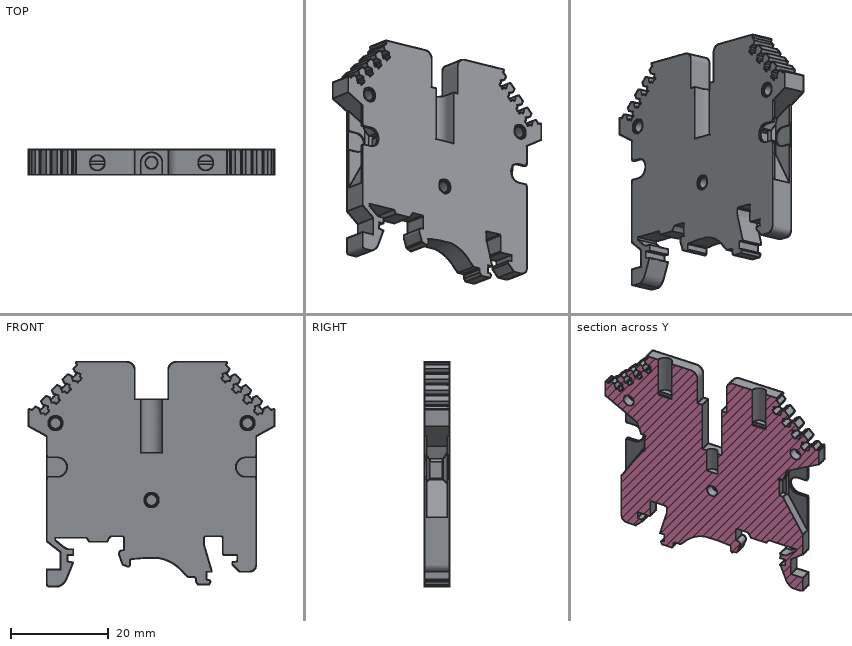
import cadquery as cq
import math

overall_width = 50.4
thickness = 5.2
height = 46.0
front_y = -thickness / 2
back_y = thickness / 2
half_width = overall_width / 2

half_body = 21.45
shoulder_low_z = 30.75
shoulder_side_z = 32.8
shoulder_top_z = 36.35
shoulder_chamfer = 0.15
shoulder_step = [(-24.6, 36.25), (-24.5, 36.09)]
tower_edge_x = 15.35
tower_chamfer_x, tower_chamfer_z = 0.15, 0.2
tooth_line_top_z = 45.35
center_gap_half = 3.4
center_gap_floor_z = 38.35
tower_radius = 1.7

right_foot_radius = 1.45
right_foot_bottom_z = 3.0
hook_corners = [
    (18.0, right_foot_bottom_z), (16.5, 4.5), (16.5, 5.0), (17.5, 5.15), (17.5, 6.45),
    (14.75, 6.45), (14.55, 6.65), (14.55, 10.05), (14.35, 10.25), (11.0, 10.25), (10.75, 10.0),
    (10.75, 8.6), (12.3, 3.3), (12.3, 3.0), (11.3, 3.0), (11.3, 1.45), (11.9, 1.3), (12.1, 1.0),
    (11.8, 0.4), (9.5, 0.4), (9.1, 1.0), (9.1, 1.65), (8.8, 1.9), (7.5, 1.9), (6.6, 2.75),
]
arch_middle = (4.3, 4.75)
arch_top_half = 1.5
arch_top_z = 5.8
stop_corners = [
    (-4.1, 5.6), (-4.35, 5.45), (-4.35, 4.35), (-4.7, 4.0), (-5.75, 4.4), (-6.0, 4.65), (-6.65, 6.5),
]
stop_nose_end = (-5.95, 7.45)
stop_nose_radius = 0.75
spring_corners = [
    (-5.65, 7.45), (-5.65, 10.05), (-5.85, 10.25), (-8.3, 10.25), (-8.65, 9.9), (-9.1, 9.15),
    (-12.75, 9.15), (-13.3, 9.95), (-19.65, 9.95), (-19.65, 9.45), (-17.9, 8.05),
]
spring_arm_middle = (-17.5, 7.8)
spring_arm_end = (-16.95, 7.65)
spring_jaw_corners = [
    (-16.0, 7.65), (-16.0, 6.45), (-17.15, 6.45), (-17.15, 5.15), (-16.0, 4.9), (-17.3, 1.75),
]
spring_toe_middle = (-18.0, 0.65)
spring_toe_end = (-19.0, 0)
heel_radius = 0.5
heel_corners = [(-half_body, 3.5), (-18.65, 3.5), (-18.65, 7.05), (-half_body, 9.25)]

first_groove = (16.56, 44.03)
groove_step = 2.21
groove_count = 4
mouth_half = 0.78
groove_overcut = 0.3
neck_half, neck_depth = 0.50, 0.80
sill_half, sill_depth = 0.78, 1.20
cavity_half, cavity_depth = 1.07, 1.83
key_half, key_top, key_bottom = 0.60, 2.10, 2.65
groove_web = 0.48

feature_y = -0.13
screw_x = 11.09
screw_hole_diameter = 3.1
screw_hole_depth = 8.0
screw_slot_width = 0.7
screw_slot_depth = 0.7
well_width = 4.5
well_back_y = 2.0
well_floor_z = 27.4
well_hole_diameter = 2.5
well_hole_depth = 5.0

socket_places = [(-19.65, 33.45), (19.65, 33.45), (0, 17.7)]
socket_outer_diameter = 3.0
socket_outer_depth = 0.4
socket_inner_diameter = 2.3
socket_depth = 3.0

funnel_half = 2.05
funnel_low_z = 14.2
funnel_knee_x, funnel_knee_z = 17.75, 28.7
throat_x = 16.75
throat_low_z, throat_high_z = 21.9, 26.1
throat_back_y, throat_front_y = 1.27, -1.6
taper_back_x, taper_front_x = 17.25, 17.0
throat_depth = 0.8
throat_bevel = 0.3
throat_end_low_z, throat_end_high_z = 22.15, 25.55
throat_end_inset_y = 0.2

window_mid_z = 24.43
window_height = 4.0
window_length = 4.15
window_lip_height = 0.5
window_lip_length = 0.2
recess_depth = 0.2


def mirrored(points):
    """Points of an XZ outline reflected to the other side, in reverse order."""
    return [(-x, z) for x, z in reversed(points)]


def on_front(y):
    """XZ workplane at the given Y; extruding by a negative length goes towards +Y."""
    return cq.Workplane("XZ", origin=(0, y, 0))


def plate():
    """The full side outline, extruded through the thickness."""
    tooth_line = first_groove[0] + first_groove[1]
    left_side = [
        (-half_body, shoulder_low_z),
        (-half_width, shoulder_side_z),
        (-half_width, shoulder_top_z - shoulder_chamfer),
        (-half_width + shoulder_chamfer, shoulder_top_z),
        *shoulder_step,
        (tooth_line_top_z - tooth_line, tooth_line_top_z),
        (-tower_edge_x - tower_chamfer_x, height - tower_chamfer_z),
        (-tower_edge_x, height),
    ]
    right_side = mirrored(left_side)
    gap_top_x = center_gap_half + tower_radius
    tower_low_z = height - tower_radius
    outline = (
        on_front(back_y)
        .moveTo(*left_side[0])
        .polyline(left_side[1:], includeCurrent=True)
        .lineTo(-gap_top_x, height)
        .radiusArc((-center_gap_half, tower_low_z), tower_radius)
        .lineTo(-center_gap_half, center_gap_floor_z)
        .lineTo(center_gap_half, center_gap_floor_z)
        .lineTo(center_gap_half, tower_low_z)
        .radiusArc((gap_top_x, height), tower_radius)
        .polyline(right_side, includeCurrent=True)
        .lineTo(half_body, right_foot_bottom_z + right_foot_radius)
        .radiusArc((half_body - right_foot_radius, right_foot_bottom_z), right_foot_radius)
        .polyline(hook_corners, includeCurrent=True)
        .threePointArc(arch_middle, (arch_top_half, arch_top_z))
        .lineTo(-arch_top_half, arch_top_z)
        .polyline(stop_corners, includeCurrent=True)
        .radiusArc(stop_nose_end, stop_nose_radius)
        .polyline(spring_corners, includeCurrent=True)
        .threePointArc(spring_arm_middle, spring_arm_end)
        .polyline(spring_jaw_corners, includeCurrent=True)
        .threePointArc(spring_toe_middle, spring_toe_end)
        .lineTo(heel_radius - half_body, 0)
        .radiusArc((-half_body, heel_radius), heel_radius)
        .polyline(heel_corners, includeCurrent=True)
        .close()
    )
    return outline.extrude(thickness)


def groove_prism(center_x, center_z, side, half_profile, start_y, length):
    """Prism of a symmetric (half width, depth) profile sunk into the 45 degree tooth line."""
    profile = half_profile + [(-half, depth) for half, depth in reversed(half_profile)]
    slant = math.sqrt(0.5)
    points = [
        (side * (center_x - (depth + along) * slant), center_z - (depth - along) * slant)
        for along, depth in profile
    ]
    return on_front(start_y).polyline(points).close().extrude(-length)


def tooth_grooves():
    """Through grooves between the teeth, with a cavity below that leaves a web at the back."""
    through = [
        (mouth_half, -groove_overcut),
        (mouth_half, 0),
        (neck_half, neck_depth),
        (sill_half, sill_depth),
    ]
    cavity = [
        (sill_half, sill_depth),
        (cavity_half, cavity_depth),
        (key_half, key_top),
        (key_half, key_bottom),
    ]
    cuts = cq.Workplane("XY")
    for side in (-1, 1):
        for index in range(groove_count):
            x = first_groove[0] + index * groove_step
            z = first_groove[1] - index * groove_step
            cuts = cuts.add(groove_prism(x, z, side, through, front_y, thickness))
            cuts = cuts.add(groove_prism(x, z, side, cavity, front_y, thickness - groove_web))
    return cuts.combine()


def screw_hole(x):
    """Vertical hole with a slotted screw head at its floor."""
    floor_z = height - screw_hole_depth
    hole = (
        cq.Workplane("XY", origin=(x, feature_y, floor_z))
        .circle(screw_hole_diameter / 2)
        .extrude(screw_hole_depth)
    )
    slot_round = (
        cq.Workplane("XY", origin=(x, feature_y, floor_z - screw_slot_depth))
        .circle(screw_hole_diameter / 2)
        .extrude(screw_slot_depth)
    )
    slot_bar = cq.Workplane("XY", origin=(x, feature_y, floor_z)).box(
        screw_hole_diameter, screw_slot_width, 2 * screw_slot_depth
    )
    return hole.union(slot_round.intersect(slot_bar))


def center_well():
    """Round-backed well open to the front and top, with a hole in its floor."""
    radius = well_width / 2
    round_start_y = well_back_y - radius
    well = (
        cq.Workplane("XY", origin=(0, 0, well_floor_z))
        .moveTo(-radius, front_y)
        .lineTo(-radius, round_start_y)
        .threePointArc((0, well_back_y), (radius, round_start_y))
        .lineTo(radius, front_y)
        .close()
        .extrude(center_gap_floor_z - well_floor_z)
    )
    hole = (
        cq.Workplane("XY", origin=(0, feature_y, well_floor_z - well_hole_depth))
        .circle(well_hole_diameter / 2)
        .extrude(well_hole_depth)
    )
    return well.union(hole)


def front_sockets():
    """Stepped blind holes in the front face."""
    face = on_front(front_y).pushPoints(socket_places)
    outer = face.circle(socket_outer_diameter / 2).extrude(-socket_outer_depth)
    inner = face.circle(socket_inner_diameter / 2).extrude(-socket_depth)
    return outer.union(inner)


def entry_window():
    """Half-round ended slot through the front wall and funnel, flared at the body end."""
    radius = window_height / 2
    tip_x = -half_body + window_length
    low_z = window_mid_z - radius
    high_z = window_mid_z + radius
    flare_x = -half_body + window_lip_length
    return (
        on_front(front_y)
        .moveTo(-half_body, low_z - window_lip_height)
        .lineTo(flare_x, low_z)
        .lineTo(tip_x - radius, low_z)
        .threePointArc((tip_x, window_mid_z), (tip_x - radius, high_z))
        .lineTo(flare_x, high_z)
        .lineTo(-half_body, high_z + window_lip_height)
        .close()
        .extrude(-(funnel_half + recess_depth - front_y))
    )


def wire_entry():
    """Left-hand funnel narrowing to a tapered throat, with its wall opening and recess."""
    side_shape = (
        on_front(-funnel_half)
        .polyline([
            (-half_body, funnel_low_z),
            (-throat_x, throat_low_z),
            (-throat_x, throat_high_z),
            (-funnel_knee_x, funnel_knee_z),
            (-half_body, shoulder_low_z),
        ])
        .close()
        .extrude(-2 * funnel_half)
    )
    plan_shape = (
        cq.Workplane("XY")
        .polyline([
            (-half_body, funnel_half),
            (-taper_back_x, funnel_half),
            (-throat_x, throat_back_y),
            (-throat_x, throat_front_y),
            (-taper_front_x, -funnel_half),
            (-half_body, -funnel_half),
        ])
        .close()
        .extrude(height)
    )
    end_x = -throat_x + throat_depth
    ceiling_end_x = end_x + throat_bevel
    throat_side = (
        on_front(-funnel_half)
        .polyline([
            (-throat_x, throat_low_z),
            (end_x, throat_end_low_z),
            (end_x, throat_end_high_z),
            (ceiling_end_x, throat_high_z),
            (-throat_x, throat_high_z),
        ])
        .close()
        .extrude(-2 * funnel_half)
    )
    throat_plan = (
        cq.Workplane("XY")
        .polyline([
            (-throat_x, throat_back_y),
            (ceiling_end_x, throat_back_y - throat_end_inset_y),
            (ceiling_end_x, throat_front_y + throat_end_inset_y),
            (-throat_x, throat_front_y),
        ])
        .close()
        .extrude(height)
    )
    throat = throat_side.intersect(throat_plan)
    return side_shape.intersect(plan_shape).union(throat).union(entry_window())


result = plate().cut(tooth_grooves())
for screw_side in (-1, 1):
    result = result.cut(screw_hole(screw_side * screw_x))
result = result.cut(center_well()).cut(front_sockets())
left_entry = wire_entry()
result = result.cut(left_entry).cut(left_entry.mirror("YZ"))